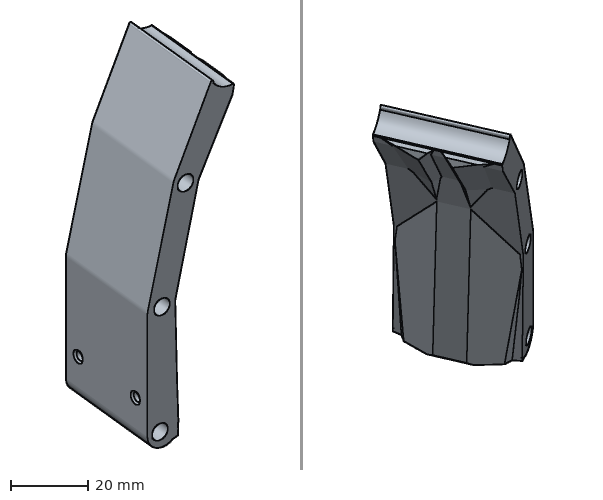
import cadquery as cq
import math

width = 35.0
half_width = width / 2
height = 106.7
depth = 30.1

front_low_bend_z = 43.2
front_high_bend = (8.5, 80.5)
bend_radius = 4.8
back_low_bend = (9.1, 43.7)
back_high_bend = (16.6, 77.9)
back_top_bend = (27.6, 99.8)
foot_radius = 5.0
foot_end_angle = math.radians(-45)
foot_back_point = (10.0, 3.0)

pin_diameter = 5.1
pin_centers = [(4.1, 5.0), (4.7, 43.3), (12.4, 78.5)]
screw_diameter = 2.8
countersink_diameter = 4.0
screw_spacing = 24.5
screw_z = 14.4
screw_depth = 8.5

ridge_x = 4.6
pad_root_y = 6.4
pads_meet_z = 63.5
pads_meet_y = 13.3
upper_pad_front_y = 9.6
upper_ridge_top = (depth, 99.5)
upper_ridge_bend = (18.1, 76.5)
upper_groove_depth = 4.5
upper_flank_slope = 0.33
lower_ridge_foot_y = 17.4
lower_flank_slope = 0.46
wall_foot_x = 13.3
wall_lean = 1.5
wall_end_z = 40.5
sliver = 0.1
lip_height = 0.7


def extrude_across(outline):
    """Centre a closed YZ outline across the full width."""
    return outline.close().extrude(half_width, both=True)


def make_plate():
    foot_end = (
        foot_radius * (1 + math.cos(foot_end_angle)),
        foot_radius * (1 + math.sin(foot_end_angle)),
    )
    plate = extrude_across(
        cq.Workplane("YZ")
        .moveTo(0, foot_radius)
        .threePointArc((foot_radius, 0), foot_end)
        .lineTo(*foot_back_point)
        .lineTo(*back_low_bend)
        .lineTo(*back_high_bend)
        .lineTo(*back_top_bend)
        .lineTo(28.2, 102.6)
        .lineTo(28.0, 103.1)
        .threePointArc((24.1, 103.6), (21.5, 105.6))
        .lineTo(21.4, 106.3)
        .threePointArc((21.0, height), (20.5, 106.3))
        .lineTo(*front_high_bend)
        .lineTo(0, front_low_bend_z)
    )
    for bend in [(0, front_low_bend_z), front_high_bend]:
        plate = plate.edges(cq.NearestToPointSelector((0, *bend))).fillet(bend_radius)
    return plate


def mirrored_loft(sections):
    """Join the (half section, z) pairs; each half section runs from the side to the middle."""
    wires = []
    for half_section, z in sections:
        mirrored = [(-x, y) for x, y in reversed(half_section) if x > 0]
        points = [cq.Vector(x, y, z) for x, y in half_section + mirrored]
        wires.append(cq.Wire.makePolygon(points, close=True))
    return cq.Workplane(cq.Solid.makeLoft(wires, True))


def upper_section(ridge_y):
    flank_drop = upper_flank_slope * (half_width - ridge_x)
    return [
        (half_width, pad_root_y),
        (half_width, ridge_y - flank_drop),
        (ridge_x, ridge_y),
        (0, ridge_y - upper_groove_depth),
    ]


def make_upper_pad():
    top_y, top_z = upper_ridge_top
    bend_y, bend_z = upper_ridge_bend
    slope = (top_y - bend_y) / (top_z - bend_z)
    pad = mirrored_loft([(upper_section(bend_y), bend_z), (upper_section(pads_meet_y), pads_meet_z)])
    end_y = top_y + slope * (height - top_z)
    pad = pad.union(mirrored_loft([(upper_section(bend_y), bend_z), (upper_section(end_y), height)]))
    envelope = extrude_across(
        cq.Workplane("YZ")
        .moveTo(upper_pad_front_y, pads_meet_z)
        .lineTo(depth, pads_meet_z)
        .lineTo(*upper_ridge_top)
        .lineTo(29.2, 102.0)
        .lineTo(28.2, 102.6)
        .lineTo(25.6, back_top_bend[1])
    )
    return pad.intersect(envelope)


def lower_ridge_y(z):
    return lower_ridge_foot_y + (pads_meet_y - lower_ridge_foot_y) * z / pads_meet_z


def lower_flank_y(x, z):
    return lower_ridge_y(z) - lower_flank_slope * (x - ridge_x)


def walled_section(wall_x, lean, side_y, lip, z):
    return [
        (half_width, pad_root_y),
        (half_width, side_y),
        (wall_x + lean, side_y + lip),
        (wall_x, lower_flank_y(wall_x, z)),
        (ridge_x, lower_ridge_y(z)),
    ]


def full_width_section(z):
    return [
        (half_width, pad_root_y),
        (half_width, lower_flank_y(half_width, z)),
        (ridge_x, lower_ridge_y(z)),
    ]


def make_lower_pad():
    wall_end_x = half_width - sliver
    wall_end_y = lower_flank_y(wall_end_x, wall_end_z) - sliver
    pad = mirrored_loft([
        (walled_section(wall_foot_x, wall_lean, foot_back_point[0], lip_height, 0), 0),
        (walled_section(wall_end_x, 0, wall_end_y, 0, wall_end_z), wall_end_z),
    ])
    pad = pad.union(mirrored_loft([
        (full_width_section(wall_end_z), wall_end_z),
        (full_width_section(pads_meet_z), pads_meet_z),
    ]))
    envelope = extrude_across(
        cq.Workplane("YZ")
        .moveTo(pad_root_y, foot_radius)
        .lineTo(7.7, 1.0)
        .lineTo(16.3, 3.5)
        .lineTo(lower_ridge_foot_y, 5.2)
        .lineTo(lower_ridge_foot_y, pads_meet_z)
        .lineTo(pad_root_y, pads_meet_z)
    )
    return pad.intersect(envelope)


def cut_pin_holes(body):
    holes = (
        cq.Workplane("YZ")
        .pushPoints(pin_centers)
        .circle(pin_diameter / 2)
        .extrude(half_width, both=True)
    )
    return body.cut(holes)


def cut_screw_holes(body):
    countersink_depth = (countersink_diameter - screw_diameter) / 2
    for x in (-screw_spacing / 2, screw_spacing / 2):
        mouth = cq.Vector(x, 0, screw_z)
        inward = cq.Vector(0, 1, 0)
        hole = cq.Solid.makeCylinder(screw_diameter / 2, screw_depth, mouth, inward)
        countersink = cq.Solid.makeCone(
            countersink_diameter / 2, screw_diameter / 2, countersink_depth, mouth, inward
        )
        body = body.cut(cq.Workplane(hole)).cut(cq.Workplane(countersink))
    return body


result = make_plate().union(make_upper_pad()).union(make_lower_pad())
result = cut_screw_holes(cut_pin_holes(result))